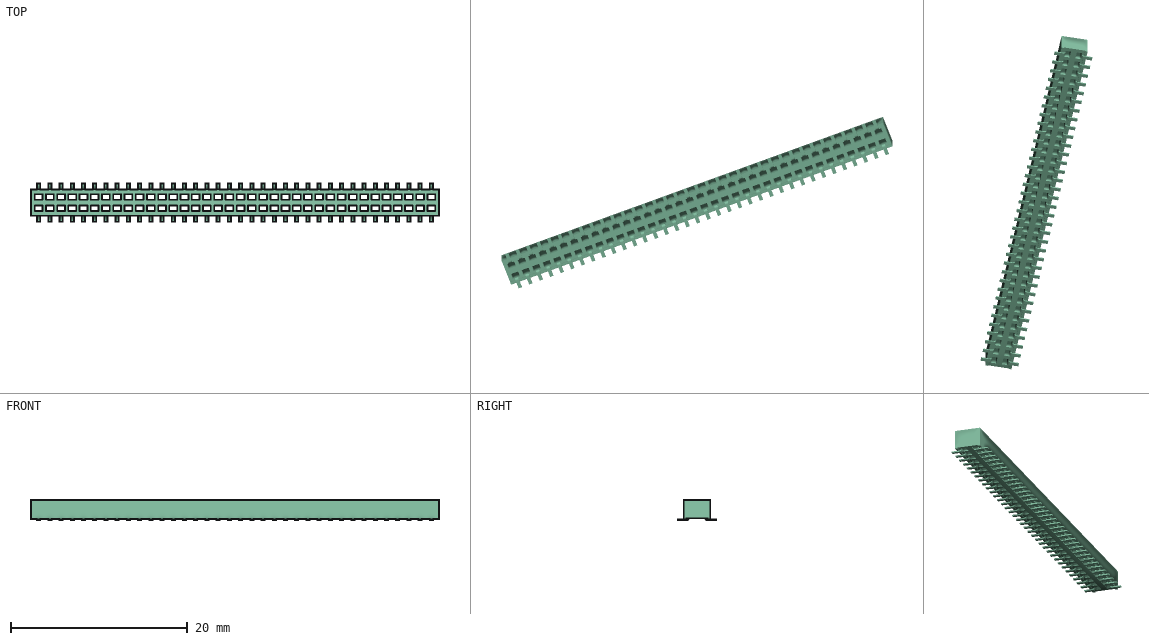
import cadquery as cq

contact_count = 36
pitch = 1.27
row_spacing = pitch
contact_x = [(i - (contact_count - 1) / 2) * pitch for i in range(contact_count)]

socket_wall = 0.4
socket_length = pitch - socket_wall
socket_width = 0.6

metal_thickness = 0.15
tail_width = 0.395
tail_tip = 2.15
bend_start = 1.2
leg_inner = (row_spacing + socket_width) / 2
leg_outer = leg_inner + metal_thickness
bend_radius = bend_start - leg_inner
strip_top = 0.45

housing_length = 46.15
housing_width = 3.0
housing_bottom = metal_thickness
housing_top = 2.3

channel_half_width = bend_start
channel_ceiling = 0.25


def box(x_range, y_range, z_range):
    """Box between the given limits along X, Y and Z."""
    size = [high - low for low, high in (x_range, y_range, z_range)]
    lower_corner = (x_range[0], y_range[0], z_range[0])
    return cq.Workplane("XY").box(*size, centered=False).translate(lower_corner)


def make_contact():
    """One contact, centred on X = 0: a tail, a quarter bend and a short upright leg."""
    inner_radius = bend_radius - metal_thickness
    return (
        cq.Workplane("YZ", origin=(-tail_width / 2, 0, 0))
        .moveTo(tail_tip, 0)
        .lineTo(bend_start, 0)
        .radiusArc((leg_inner, bend_radius), bend_radius)
        .lineTo(leg_inner, strip_top)
        .lineTo(leg_outer, strip_top)
        .lineTo(leg_outer, bend_radius)
        .radiusArc((bend_start, metal_thickness), -inner_radius)
        .lineTo(tail_tip, metal_thickness)
        .close()
        .extrude(tail_width)
    )


def make_contact_comb(side):
    """One row of contacts on their common strip; side is -1 or +1 along Y."""
    strip_end = contact_x[-1] + tail_width / 2
    strip = box((-strip_end, strip_end), (leg_inner, leg_outer), (channel_ceiling, strip_top))
    contact = make_contact().val()
    contacts = [contact.translate(cq.Vector(x, 0, 0)) for x in contact_x]
    comb = cq.Workplane(obj=strip.val().fuse(*contacts))
    return comb if side > 0 else comb.mirror("XZ")


def make_housing(combs):
    """Block with an underside channel, two rows of through sockets and a seat for each comb."""
    x_range = (-housing_length / 2, housing_length / 2)
    y_range = (-housing_width / 2, housing_width / 2)
    block = box(x_range, y_range, (housing_bottom, housing_top))
    channel = box(x_range, (-channel_half_width, channel_half_width), (housing_bottom, channel_ceiling))

    socket_centers = [(x, side * row_spacing / 2) for x in contact_x for side in (-1, 1)]
    sockets = (
        cq.Workplane("XY")
        .pushPoints(socket_centers)
        .rect(socket_length, socket_width)
        .extrude(housing_top)
    )
    housing = block.cut(channel).cut(sockets)
    for comb in combs:
        housing = housing.cut(comb)
    return housing


contact_combs = [make_contact_comb(side) for side in (-1, 1)]
housing = make_housing(contact_combs)

comb_solids = [solid for comb in contact_combs for solid in comb.solids().vals()]
result = cq.Compound.makeCompound([housing.val(), *comb_solids])